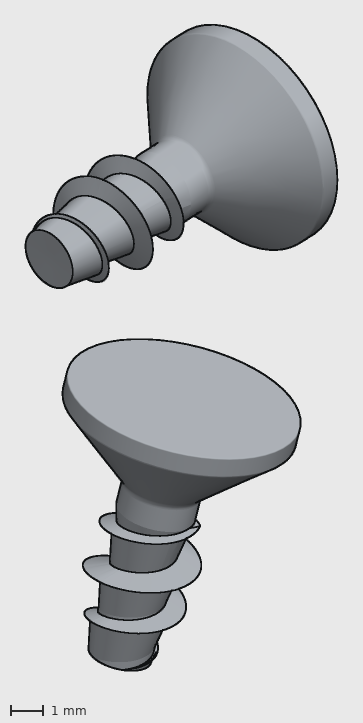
import cadquery as cq
import math

length = 9.0

head_diameter = 7.3
head_radius = head_diameter / 2
head_edge_radius = 0.05
rim_cone_radius = 0.09
rim_height = 0.67
cone_end_radius = 1.32
neck_radius = 1.23
neck_fillet_end = 3.21
neck_end = 3.98

core_radius = 0.98
neck_taper_end = 5.04
tip_rim_radius = 0.88
tip_dish_depth = 0.04
pitch = 1.57
thread_start = 3.53
crest_full_start = 5.49
crest_full_end = 6.66
thread_end = 8.97
full_crest_radius = 1.76
crest_rise = 0.22
flank_slope = 0.36
ramp_slope = 0.17
root_toe_offset = 1.305
buried_radius = 0.94
start_angle = 90.0
curve_spans_per_turn = 16
min_curve_spans = 4
root_overlap = 0.002
min_tooth_height = 0.0045
min_ramp_length = 0.01
selection_margin = 0.01


def head_and_core():
    """Revolve the head, neck and straight core about the Y axis."""
    cone_end = rim_height + head_radius - cone_end_radius
    profile = (
        cq.Workplane("XY")
        .moveTo(0, 0)
        .lineTo(head_radius, 0)
        .lineTo(head_radius, -rim_height)
        .lineTo(cone_end_radius, -cone_end)
        .tangentArcPoint((neck_radius, -neck_fillet_end), relative=False)
        .lineTo(neck_radius, -neck_end)
        .lineTo(core_radius, -neck_taper_end)
        .lineTo(core_radius, -length)
        .lineTo(tip_rim_radius, -length)
        .lineTo(0, tip_dish_depth - length)
        .close()
    )
    body = profile.revolve(360, (0, 0), (0, 1))
    body = body.faces(">Y").edges().fillet(head_edge_radius)
    reach = head_radius + selection_margin
    rim_corner = cq.selectors.BoxSelector(
        (-reach, -rim_height - selection_margin, -reach),
        (reach, -rim_height + selection_margin, reach),
    )
    return body.edges(rim_corner).fillet(rim_cone_radius)


def crest_radius(depth):
    """Crest radius: grows, stays constant, then runs out at the tip."""
    if depth < crest_full_start:
        return full_crest_radius - crest_rise * (crest_full_start - depth)
    run_out = max(0, depth - crest_full_end) / (thread_end - crest_full_end)
    return full_crest_radius - run_out * (full_crest_radius - core_radius)


def band_section(depth):
    """Corners (depth, radius) of the thread band for a crest at this depth."""
    crest = crest_radius(depth)
    toe = max(depth, min(depth + root_toe_offset, length))
    ramp_height = core_radius + ramp_slope * (toe - depth)
    flank_width = flank_slope * max(min_tooth_height, crest - ramp_height) / (1 - flank_slope * ramp_slope)
    flank_foot = depth + flank_width
    foot_radius = core_radius + ramp_slope * (toe - flank_foot)
    ramp_end = max(toe, flank_foot + min_ramp_length)
    head_foot = depth - flank_slope * (crest - buried_radius)
    return [
        (head_foot, buried_radius),
        (depth, crest),
        (flank_foot, foot_radius),
        (ramp_end, core_radius - root_overlap),
        (ramp_end, buried_radius),
    ]


def helix_point(crest_depth, corner):
    """Position of one band corner; the thread turns once per pitch."""
    angle = math.radians(start_angle + 360 * (crest_depth - thread_start) / pitch)
    depth, radius = band_section(crest_depth)[corner]
    return cq.Vector(radius * math.cos(angle), -depth, radius * math.sin(angle))


def band_segment(start, end):
    """Solid stretch of the thread band between two crest depths."""
    spans = max(min_curve_spans, math.ceil((end - start) / pitch * curve_spans_per_turn))
    depths = [start + (end - start) * i / spans for i in range(spans + 1)]
    corners = range(len(band_section(start)))
    edges = [cq.Edge.makeSpline([helix_point(d, c) for d in depths]) for c in corners]
    faces = [cq.Face.makeRuledSurface(edges[c - 1], edges[c]) for c in corners]
    for depth in (start, end):
        outline = cq.Wire.makePolygon([helix_point(depth, c) for c in corners], close=True)
        faces.append(cq.Face.makeFromWires(outline))
    return cq.Solid.makeSolid(cq.Shell.makeShell(faces))


def thread():
    """All stretches of the band, trimmed to the length below the neck."""
    toe_reaches_tip = length - root_toe_offset
    breaks = [thread_start, crest_full_start, crest_full_end, toe_reaches_tip, thread_end]
    envelope = (
        cq.Workplane("XZ", origin=(0, -neck_end, 0))
        .circle(head_radius)
        .extrude(length - neck_end)
    )
    band = cq.Workplane("XY")
    for start, end in zip(breaks, breaks[1:]):
        parts = math.ceil((end - start) / (pitch / 2))
        step = (end - start) / parts
        for i in range(parts):
            segment = band_segment(start + i * step, start + (i + 1) * step)
            band = band.add(envelope.intersect(cq.Workplane(segment)))
    return band.vals()


result = head_and_core()
for stretch in thread():
    result = result.union(cq.Workplane(stretch))